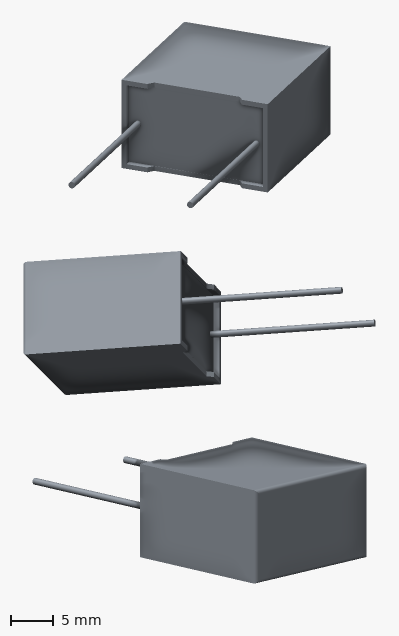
import cadquery as cq

TOTAL_LENGTH = 38.1
CASE_WIDTH = 18.5
CASE_HEIGHT = 11.2
CASE_LENGTH = 19.1
WALL = 0.6
CLOSED_END_FILLET = 0.5

RELIEF_DEPTH = 0.72
RELIEF_MOUTH_WIDTH = 12.0
RELIEF_FLOOR_WIDTH = 10.85

RESIN_RECESS = 0.75
LEAD_DIAMETER = 0.8
LEAD_SPACING = 15.0
LEAD_EMBEDMENT = 1.9

CAVITY_WIDTH = CASE_WIDTH - 2 * WALL
CAVITY_HEIGHT = CASE_HEIGHT - 2 * WALL
CAVITY_END = CASE_LENGTH - WALL
LEAD_TIP = CASE_LENGTH - TOTAL_LENGTH
LEAD_ROOT = RESIN_RECESS + LEAD_EMBEDMENT


def block(width, height, start, end):
    """Box centred on the Y axis, from Y = start to Y = end."""
    return cq.Workplane("XY").box(
        width, end - start, height, centered=(True, False, True)
    ).translate((0, start, 0))


def make_relief_cutter():
    """Trapezoid that narrows away from the rim and passes through the full height."""
    half_mouth = RELIEF_MOUTH_WIDTH / 2
    half_floor = RELIEF_FLOOR_WIDTH / 2
    return (
        cq.Workplane("XY")
        .polyline([
            (-half_mouth, 0),
            (half_mouth, 0),
            (half_floor, RELIEF_DEPTH),
            (-half_floor, RELIEF_DEPTH),
        ])
        .close()
        .extrude(CASE_HEIGHT / 2, both=True)
    )


def make_case():
    """Open-fronted shell with a rounded closed end and a relieved rim."""
    outer = block(CASE_WIDTH, CASE_HEIGHT, 0, CASE_LENGTH)
    outer = outer.faces(">Y").edges().fillet(CLOSED_END_FILLET)
    cavity = block(CAVITY_WIDTH, CAVITY_HEIGHT, 0, CAVITY_END)
    return outer.cut(cavity).cut(make_relief_cutter())


def make_lead(x):
    """Round wire from its root in the resin to its free tip."""
    return (
        cq.Workplane("XZ", origin=(x, LEAD_ROOT, 0))
        .circle(LEAD_DIAMETER / 2)
        .extrude(LEAD_ROOT - LEAD_TIP)
    )


def make_resin(leads):
    """Filling of the case cavity, with a fitting hole for each lead."""
    resin = block(CAVITY_WIDTH, CAVITY_HEIGHT, RESIN_RECESS, CAVITY_END)
    for lead in leads:
        resin = resin.cut(lead)
    return resin


case = make_case()
leads = [make_lead(side * LEAD_SPACING / 2) for side in (-1, 1)]
resin = make_resin(leads)

result = cq.Compound.makeCompound([case.val(), resin.val(), *[lead.val() for lead in leads]])